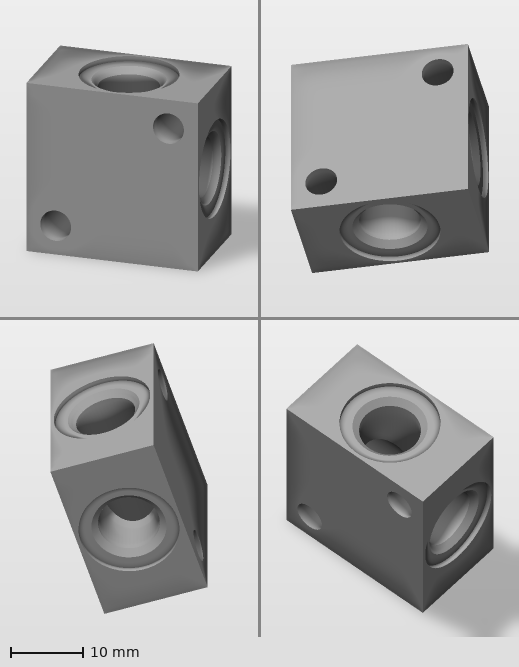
import cadquery as cq

side = 25.0
thickness = 15.0

bore_diameter = 8.58
countersink_diameter = 10.4
spotface_diameter = 14.0
spotface_depth = 0.75
countersink_depth = (countersink_diameter - bore_diameter) / 2

mounting_diameter = 4.5
mounting_offset = 8.22


def port_cutter(outward):
    """Port running from the block centre to the face in the outward direction."""
    half_side = side / 2
    seat = half_side - spotface_depth
    countersink_bottom = seat - countersink_depth
    profile = [
        (0, 0),
        (bore_diameter / 2, 0),
        (bore_diameter / 2, countersink_bottom),
        (countersink_diameter / 2, seat),
        (spotface_diameter / 2, seat),
        (spotface_diameter / 2, half_side),
        (0, half_side),
    ]
    across = cq.Vector(0, 1, 0)
    axis = cq.Vector(*outward)
    plane = cq.Plane(origin=(0, 0, 0), xDir=across, normal=across.cross(axis))
    return cq.Workplane(plane).polyline(profile).close().revolve(360, (0, 0), (0, 1))


block = cq.Workplane("XY").box(side, thickness, side)

for direction in [(1, 0, 0), (-1, 0, 0), (0, 0, 1), (0, 0, -1)]:
    block = block.cut(port_cutter(direction))

mounting_holes = (
    cq.Workplane("XZ")
    .pushPoints([(mounting_offset, mounting_offset), (-mounting_offset, -mounting_offset)])
    .circle(mounting_diameter / 2)
    .extrude(thickness / 2, both=True)
)

result = block.cut(mounting_holes)